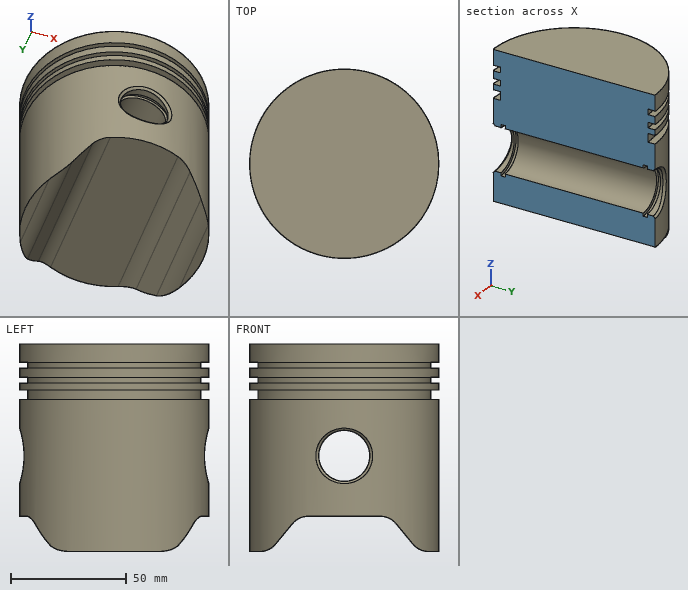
import cadquery as cq
import math

piston_diameter = 82.0
piston_height = 90.0

ring_groove_root_diameter = 75.0
ring_grooves = [(8.0, 2.5), (14.5, 2.5), (20.0, 4.0)]

pin_bore_diameter = 22.0
pin_axis_below_crown = 48.5
mouth_chamfer = 1.0
clip_groove_diameter = 25.0
clip_groove_width = 2.0
clip_groove_offset = 4.0

cutout_height = 15.3
cutout_top_width = 39.6
cutout_bottom_width = 64.8
cutout_corner_radius = 9.0

piston_radius = piston_diameter / 2
pin_axis_height = piston_height - pin_axis_below_crown


def disk_along_y(diameter, y_start, length):
    """Cylinder on the pin axis, from y_start towards +Y."""
    plane = cq.Plane(origin=(0, y_start, pin_axis_height), xDir=(1, 0, 0), normal=(0, 1, 0))
    return cq.Workplane(plane).circle(diameter / 2).extrude(length)


def make_body():
    return cq.Workplane("XY").circle(piston_radius).extrude(piston_height)


def cut_ring_grooves(body):
    for depth_below_crown, width in ring_grooves:
        groove = (
            cq.Workplane("XY")
            .workplane(offset=piston_height - depth_below_crown - width)
            .circle(piston_radius)
            .circle(ring_groove_root_diameter / 2)
            .extrude(width)
        )
        body = body.cut(groove)
    return body


def cut_skirt(body):
    """Cut the trapezoidal notch through both pin sides and round its corners."""
    half_top = cutout_top_width / 2
    half_bottom = cutout_bottom_width / 2
    notch = (
        cq.Workplane("XZ")
        .polyline([(-half_bottom, 0), (-half_top, cutout_height), (half_top, cutout_height), (half_bottom, 0)])
        .close()
        .extrude(piston_radius, both=True)
    )
    body = body.cut(notch)
    return body.edges("|Y").fillet(cutout_corner_radius)


def make_mouth_chamfer(side):
    """Cutter for the bore mouth on the side -1 (-Y) or +1 (+Y).

    The chamfer reaches to where both faces, offset by its size, meet. The skirt curves away
    beside the bore, so the chamfer is wider there than above and below, and its section is an ellipse.
    """
    bore_radius = pin_bore_diameter / 2
    offset_bore_radius = bore_radius + mouth_chamfer
    offset_skirt_radius = piston_radius - mouth_chamfer
    skirt_scale = piston_radius / offset_skirt_radius

    inner_y = math.sqrt(offset_skirt_radius**2 - offset_bore_radius**2)
    outer_y = inner_y * skirt_scale
    side_slope = (offset_bore_radius * skirt_scale - bore_radius) / (outer_y - inner_y)

    depth = piston_radius - inner_y
    inner_half_width = bore_radius
    outer_half_width = inner_half_width + side_slope * depth
    outer_half_height = offset_bore_radius
    inner_half_height = outer_half_height - depth

    plane = cq.Plane(origin=(0, side * inner_y, pin_axis_height), xDir=(1, 0, 0), normal=(0, side, 0))
    return (
        cq.Workplane(plane)
        .ellipse(inner_half_width, inner_half_height)
        .workplane(offset=depth)
        .ellipse(outer_half_width, outer_half_height)
        .loft(ruled=True)
    )


def cut_pin_bore(body):
    body = body.cut(disk_along_y(pin_bore_diameter, -piston_radius, piston_diameter))
    groove_outer_wall = piston_radius - clip_groove_offset
    for groove_start in (-groove_outer_wall, groove_outer_wall - clip_groove_width):
        body = body.cut(disk_along_y(clip_groove_diameter, groove_start, clip_groove_width))
    for side in (-1, 1):
        body = body.cut(make_mouth_chamfer(side))
    return body


result = cut_pin_bore(cut_skirt(cut_ring_grooves(make_body())))